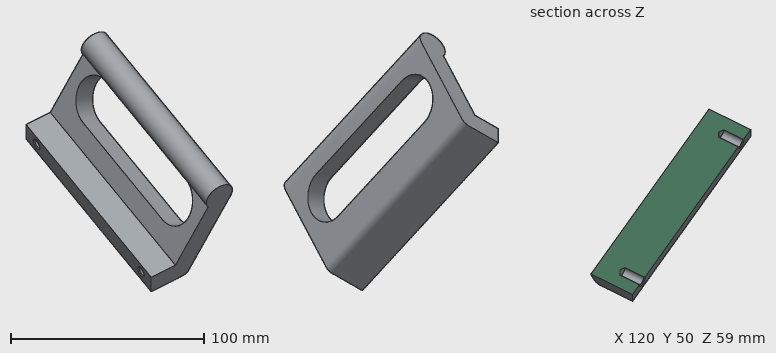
import cadquery as cq
import math

length = 120.0
depth = 50.0
height = 59.0

bar_diameter = 16.1
bar_radius = bar_diameter / 2
bar_y = depth - bar_radius
bar_z = height - bar_radius

plate_thickness = 12.0
arm_angle = math.radians(60)
heel_radius = 5.0

slot_length = 104.2
slot_width = 28.3
slot_center_z = 34.8

hole_diameter = 4.9
hole_mouth_diameter = 6.1
hole_end_offset = 10.0
hole_depth = 12.0
hole_z = plate_thickness / 2
drill_point_angle = math.radians(118)

along_y, along_z = math.cos(arm_angle), math.sin(arm_angle)
normal_y, normal_z = -along_z, along_y

tangent_y = bar_y - bar_radius * normal_y
tangent_z = bar_z - bar_radius * normal_z
front_y = tangent_y + plate_thickness * normal_y
front_z = tangent_z + plate_thickness * normal_z


def front_face_y(z):
    """Y of the arm's front face at height z."""
    return front_y + (z - front_z) / math.tan(arm_angle)


heel_y = tangent_y - tangent_z / math.tan(arm_angle)


def make_body():
    """Foot and arm as one bent plate, joined to the grip bar."""
    plate = (
        cq.Workplane("YZ")
        .moveTo(0, 0)
        .lineTo(heel_y, 0)
        .lineTo(tangent_y, tangent_z)
        .lineTo(bar_y, bar_z)
        .lineTo(front_y, front_z)
        .lineTo(front_face_y(plate_thickness), plate_thickness)
        .lineTo(0, plate_thickness)
        .close()
        .extrude(length)
    )
    heel_edge = cq.selectors.NearestToPointSelector((length / 2, heel_y, 0))
    plate = plate.edges(heel_edge).fillet(heel_radius)
    bar = cq.Workplane("YZ").center(bar_y, bar_z).circle(bar_radius).extrude(length)
    return plate.union(bar)


def make_slot():
    """Round-ended cutter from the arm's front face through to the back."""
    face = cq.Plane(
        origin=(length / 2, front_face_y(slot_center_z), slot_center_z),
        xDir=(1, 0, 0),
        normal=(0, normal_y, normal_z),
    )
    cut_depth = 2 * plate_thickness
    return cq.Workplane(face).slot2D(slot_length, slot_width).extrude(-cut_depth)


def make_hole(x):
    """Blind drilled hole with a 45 degree chamfered mouth and a conical bottom."""
    radius = hole_diameter / 2
    mouth_radius = hole_mouth_diameter / 2
    chamfer = mouth_radius - radius
    point_depth = radius / math.tan(drill_point_angle / 2)
    return (
        cq.Workplane("XY")
        .moveTo(0, 0)
        .lineTo(mouth_radius, 0)
        .lineTo(radius, chamfer)
        .lineTo(radius, hole_depth)
        .lineTo(0, hole_depth + point_depth)
        .close()
        .revolve(360, (0, 0, 0), (0, 1, 0))
        .translate((x, 0, hole_z))
    )


result = make_body().cut(make_slot())
for hole_x in (hole_end_offset, length - hole_end_offset):
    result = result.cut(make_hole(hole_x))